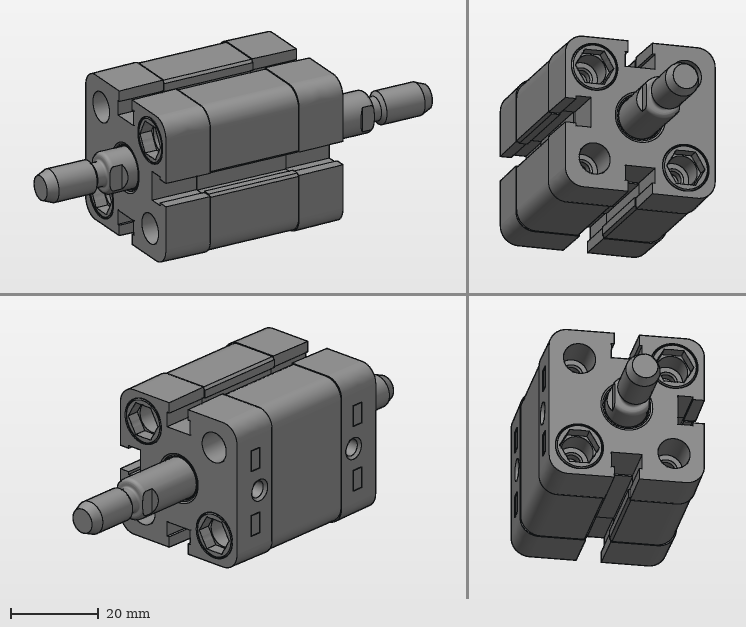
import cadquery as cq
import math


housing_length = 47.0
cap_length = 11.7
joint_width = 36.3
end_width = 36.0
barrel_width = 35.9
cap_corner_radius = 4.3
barrel_corner_radius = 4.6

slot_inner_width = 7.1
slot_lip_depth = 15.4
cap_mouth_width = 5.8
cap_slot_floor = 11.8
barrel_mouth_width = 5.2
barrel_slot_floor = 12.1
barrel_mouth_chamfer = 0.6
slot_angles = [0, 90, 180]

fixing_offset = 21.5 / 2
fixing_bore = 7.5
fixing_bore_depth = 9.2
thread_mouth = 5.0
thread_core = 4.1
thread_lead = 0.46
head_bore = 11.1
head_diameter = 10.9
head_gap_depth = 0.5
head_chamfer = 0.3
socket_width = 8.0
socket_relief = 8.1
socket_depth = 3.1

port_mouth = 5.4
port_core = 4.1
port_lead = 0.8
port_floor = 6.8
port_inset = 7.6

label_height = 5.1
label_width = 2.9
label_offset = 8.1
label_inset = 6.2
label_depth = 0.1

rod_diameter = 10.0
rod_front_reach = 22.6
rod_total_length = 102.1
thread_diameter = 8.0
tip_diameter = 5.9
tip_length = 2.6
thread_end = 12.7
undercut_diameter = 5.8
undercut_start = 13.5
undercut_end = 15.5
undercut_fillet = 0.5
shoulder_round = 1.0
flat_width = 8.0
flat_end = 19.2
flat_ramp_length = 1.0
seal_mouth = 12.0
seal_bore = 11.1
seal_lip = 10.5
seal_lead = 0.2
lip_lead = 0.4
chamber_diameter = 14.0
chamber_start = 4.6

front_face = -housing_length / 2
front_joint = front_face + cap_length
barrel_length = housing_length - 2 * cap_length
rod_tip = front_face - rod_front_reach
rod_middle = rod_tip + rod_total_length / 2


def plane_at(y):
    """Sketch plane at height y whose normal is +Y; local x is +X and local y is -Z."""
    return cq.Workplane("XZ", origin=(0, y, 0)).transformed(rotate=(180, 0, 0))


def cylinder(diameter, start, length, x=0, z=0):
    return cq.Workplane(plane_at(start).plane).center(x, -z).circle(diameter / 2).extrude(length)


def cone(start_diameter, end_diameter, start, length, x=0, z=0):
    return cq.Workplane(
        cq.Solid.makeCone(
            start_diameter / 2, end_diameter / 2, length, cq.Vector(x, start, z), cq.Vector(0, 1, 0)
        )
    )


def rounded_square(width, radius, start):
    outline = cq.Sketch().rect(width, width).vertices().fillet(radius)
    return plane_at(start).placeSketch(outline)


def slots(mouth_width, floor, start, length, mouth_chamfer=0.0):
    """T-slots on the -Z, +X and +Z sides, with optionally chamfered mouths."""
    mouth = mouth_width / 2
    inner = slot_inner_width / 2
    surface = barrel_width / 2
    outside = joint_width
    half = [(floor, inner), (slot_lip_depth, inner), (slot_lip_depth, mouth)]
    if mouth_chamfer:
        half += [(surface - mouth_chamfer, mouth), (surface, mouth + mouth_chamfer)]
    half.append((outside, mouth + mouth_chamfer))
    other_half = [(across, -side) for across, side in reversed(half)]
    slot = plane_at(start).polyline(half + other_half).close().extrude(length)
    tools = cq.Workplane()
    for angle in slot_angles:
        tools = tools.add(slot.rotate((0, 0, 0), (0, 1, 0), angle - 90).vals())
    return tools.combine()


def plain_fixing(x, z):
    """Stepped corner bore ending in a countersunk core hole."""
    lead_start = front_face + fixing_bore_depth
    core_start = lead_start + thread_lead
    bore = cylinder(fixing_bore, front_face, fixing_bore_depth, x, z)
    lead = cone(thread_mouth, thread_core, lead_start, thread_lead, x, z)
    core = cylinder(thread_core, core_start, front_joint - core_start, x, z)
    return bore.union(lead).union(core)


def head_fixing(x, z):
    """Corner bore surrounded by a chamfered screw head with a hexagonal socket relieved along its flats."""
    head = cylinder(head_diameter, front_face, head_gap_depth, x, z).faces("<Y").chamfer(head_chamfer)
    gap = cylinder(head_bore, front_face, head_gap_depth, x, z).cut(head)
    across_corners = socket_width / math.cos(math.pi / 6)
    socket = plane_at(front_face).center(x, -z).polygon(6, across_corners).extrude(socket_depth)
    relief = cylinder(socket_relief, front_face, socket_depth, x, z)
    return plain_fixing(x, z).union(socket).union(relief).union(gap)


def port():
    """Radial air port on the -X side, with a conical mouth, breaking into the air chamber."""
    side = -joint_width / 2
    start = cq.Vector(side, front_face + port_inset, 0)
    inward = cq.Vector(1, 0, 0)
    core = cq.Workplane(cq.Solid.makeCylinder(port_core / 2, -port_floor - side, start, inward))
    lead = cq.Workplane(cq.Solid.makeCone(port_mouth / 2, port_core / 2, port_lead, start, inward))
    return core.union(lead)


def seal_seat():
    """Rod passage through a cap with a shallow countersunk seal seat at its outer end."""
    passage = cylinder(rod_diameter, front_face, cap_length)
    mouth = cone(seal_mouth, seal_bore, front_face, seal_lead)
    lip = cone(seal_lip, rod_diameter, front_face + seal_lead, lip_lead)
    return passage.union(mouth).union(lip)


def air_chamber():
    """Annular space around the rod, open to the port and closed by the barrel."""
    return cylinder(chamber_diameter, front_face + chamber_start, cap_length - chamber_start)


def labels():
    """Shallow rectangular recesses above and below the port."""
    depth = (joint_width - end_width) / 2 + label_depth
    x = -joint_width / 2 + depth / 2
    y = front_face + label_inset
    panel = cq.Workplane().box(depth, label_width, label_height)
    return panel.translate((x, y, label_offset)).union(panel.translate((x, y, -label_offset)))


def make_cap():
    """Front end cap, widening slightly from its outer face to the barrel joint."""
    draft = math.degrees(math.atan((joint_width - end_width) / 2 / cap_length))
    cap = rounded_square(end_width, cap_corner_radius, front_face).extrude(cap_length, taper=-draft)
    cap = cap.cut(slots(cap_mouth_width, cap_slot_floor, front_face, cap_length))
    for side in (-1, 1):
        cap = cap.cut(head_fixing(side * fixing_offset, side * fixing_offset))
        cap = cap.cut(plain_fixing(side * fixing_offset, -side * fixing_offset))
    return cap.cut(port()).cut(labels()).cut(seal_seat()).cut(air_chamber())


def make_barrel():
    barrel = rounded_square(barrel_width, barrel_corner_radius, front_joint).extrude(barrel_length)
    barrel = barrel.cut(
        slots(barrel_mouth_width, barrel_slot_floor, front_joint, barrel_length, barrel_mouth_chamfer)
    )
    return barrel.cut(cylinder(rod_diameter, front_joint, barrel_length))


def arc_point(center, radius, angle):
    """Point at the given angle, in degrees, on an arc about center."""
    return (
        center[0] + radius * math.cos(math.radians(angle)),
        center[1] + radius * math.sin(math.radians(angle)),
    )


def rod_half():
    """Front half of the rod: threaded end, undercut and rounded shoulder."""
    shoulder = rod_tip + undercut_end + undercut_fillet
    undercut_radius = undercut_diameter / 2
    fillet_radius = undercut_radius + undercut_fillet
    fillet_center = (fillet_radius, rod_tip + undercut_end)
    rod_radius = rod_diameter / 2
    round_center = (rod_radius - shoulder_round, shoulder + shoulder_round)
    return (
        cq.Workplane("XY")
        .moveTo(0, rod_tip)
        .lineTo(tip_diameter / 2, rod_tip)
        .lineTo(thread_diameter / 2, rod_tip + tip_length)
        .lineTo(thread_diameter / 2, rod_tip + thread_end)
        .lineTo(undercut_radius, rod_tip + undercut_start)
        .lineTo(undercut_radius, rod_tip + undercut_end)
        .threePointArc(arc_point(fillet_center, undercut_fillet, 135), (fillet_radius, shoulder))
        .lineTo(rod_radius - shoulder_round, shoulder)
        .threePointArc(
            arc_point(round_center, shoulder_round, -45), (rod_radius, shoulder + shoulder_round)
        )
        .lineTo(rod_radius, rod_middle)
        .lineTo(0, rod_middle)
        .close()
        .revolve(360, (0, 0, 0), (0, 1, 0))
    )


def wrench_flats():
    """Pair of cutters for the wrench flats, ending in a ramp up to the rod surface."""
    flat = flat_width / 2
    surface = rod_diameter / 2
    start = rod_tip + undercut_end
    cutter = (
        cq.Workplane("XY", origin=(0, 0, -surface))
        .moveTo(flat, start)
        .lineTo(flat, rod_tip + flat_end)
        .lineTo(surface, rod_tip + flat_end + flat_ramp_length)
        .lineTo(surface, start)
        .close()
        .extrude(rod_diameter)
    )
    return cutter.union(cutter.mirror("YZ"))


def make_rod():
    """Through rod, symmetric about its own middle."""
    front_half = rod_half().cut(wrench_flats())
    return front_half.union(front_half.mirror("XZ", (0, rod_middle, 0))).clean()


front_cap = make_cap()
rear_cap = front_cap.mirror("XZ")
barrel = make_barrel()
piston_rod = make_rod()

bodies = [front_cap, rear_cap, barrel, piston_rod]
result = cq.Compound.makeCompound([body.solids().val() for body in bodies])